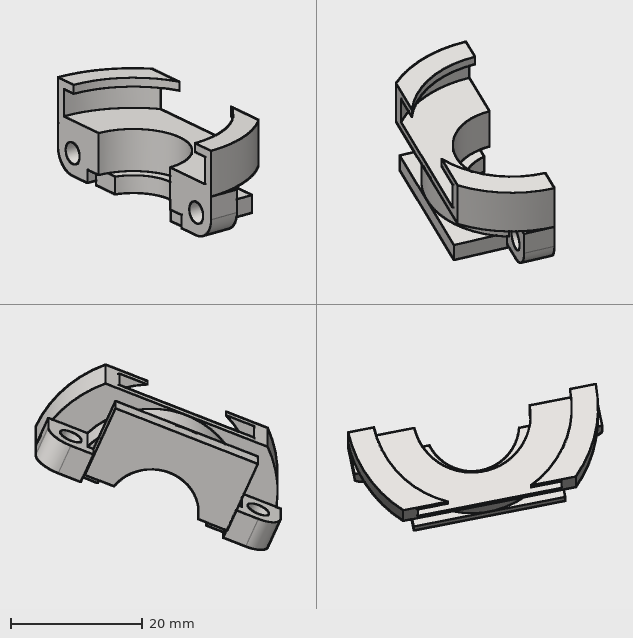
import cadquery as cq

length = 38.5
depth = 13.6
height = 15.75

axis_y = -0.21
shell_radius = length / 2
groove_radius = 17.75
lip_radius = 15.25
hub_radius = 13.8
bore_radius = 8.97
small_bore_radius = 7.2

ear_bottom = 0.75
plate_top = 2.93
shell_bottom = 8.25
floor_level = 9.8
lip_bottom = 14.3

plate_width = 23.55
plate_setback = 1.6

ear_depth = 4.95
ear_corner_radius = 3.75
hole_diameter = 3.5
hole_x = length / 2 - ear_corner_radius
hole_z = ear_bottom + ear_corner_radius


def cylinder(radius, bottom, top):
    """Vertical cylinder on the common axis."""
    return cq.Workplane("XY", origin=(0, axis_y, bottom)).circle(radius).extrude(top - bottom)


def block(x_min, x_max, y_min, y_max, z_min, z_max):
    """Box given by its limits."""
    size = (x_max - x_min, y_max - y_min, z_max - z_min)
    return cq.Workplane("XY").box(*size, centered=False).translate((x_min, y_min, z_min))


def screw_ear():
    """Ear on the +X side with a rounded lower outer corner."""
    ear = block(plate_width / 2, length / 2, 0, ear_depth, ear_bottom, shell_bottom)
    return ear.edges("|Y and >X and <Z").fillet(ear_corner_radius)


def screw_hole():
    """Cutter for the +X screw hole, concentric with the ear corner."""
    plane = cq.Workplane("XZ", origin=(hole_x, 0, hole_z))
    return plane.circle(hole_diameter / 2).extrude(-ear_depth)


body = cylinder(hub_radius, plate_top, shell_bottom)
body = body.union(cylinder(shell_radius, shell_bottom, height))
body = body.intersect(block(-length / 2, length / 2, 0, depth, 0, height))

plate = block(-plate_width / 2, plate_width / 2, plate_setback, depth, 0, plate_top)
body = body.union(plate)

ear = screw_ear()
body = body.union(ear).union(ear.mirror("YZ"))

body = body.cut(cylinder(groove_radius, floor_level, lip_bottom))
body = body.cut(cylinder(lip_radius, lip_bottom, height))
body = body.cut(cylinder(bore_radius, plate_top, floor_level))
body = body.cut(cylinder(small_bore_radius, 0, plate_top))

hole = screw_hole()
result = body.cut(hole).cut(hole.mirror("YZ"))